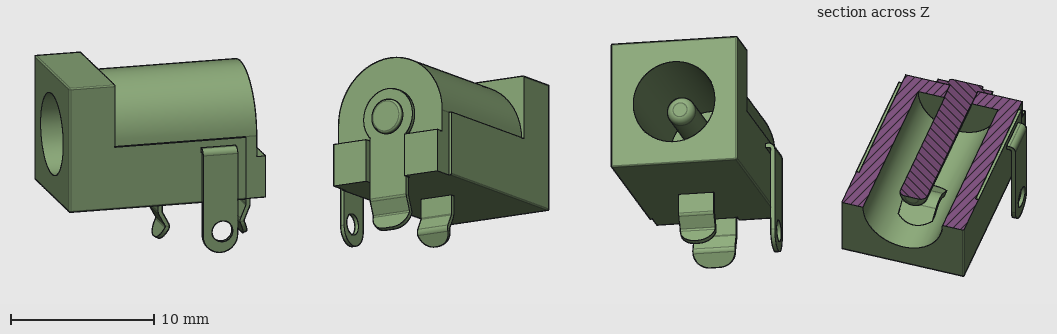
import cadquery as cq
import math


BLOCK_SIZE = 9.01
BLOCK_DEPTH = 3.3
WIDE_DEPTH = 12.8
REAR_FACE_Y = 13.65
TOTAL_DEPTH = 14.3
BARREL_RADIUS = 4.29
BORE_RADIUS = 2.92
EDGE_FILLET = 0.1
LUG_TOP_Z = -1.52
LUG_GAP = 3.19
HALF_SIZE = BLOCK_SIZE / 2
BORE_DEPTH = REAR_FACE_Y - (BARREL_RADIUS - BORE_RADIUS)

SHEET = 0.3
BEND_RADIUS = 0.13
TAIL_BEND_RADIUS = 0.17
ROUND_MARGIN = 0.001
TAIL_END_Z = -8.01

SLEEVE_WIDTH = 2.5
SLEEVE_TAIL_Y = 7.51
SLEEVE_KINK_Z = -5.95
SLEEVE_OFFSET = 0.56
SLEEVE_TIP_RADIUS = 1.15
SLEEVE_ANGLE = math.radians(30)
CREST_Y = 4.43
CREST_TOP_Z = -1.95
CREST_RADIUS = 1.3
RAMP_START_Y = 1.72

TAB_WIDTH = 2.5
TAB_Y = 10.78
TAB_TOP_Z = -0.5
TAB_REACH = 5.15
TAB_TIP_Z = -8.02
TAB_ROOT_X = 4.0
TAB_HOLE_DIAMETER = 1.5
TAB_HOLE_Y = 10.93
TAB_HOLE_Z = -6.5

PIN_RADIUS = 1.0
PIN_TIP_Y = 2.0
PIN_TIP_FILLET = 0.5
PLATE_RADIUS = 2.02
RIVET_RADIUS = 1.23
RIVET_HEIGHT = 0.29
RIVET_FILLET = 0.16
TERMINAL_WIDTH = 3.0
TERMINAL_KINK_Z = -5.79
TERMINAL_OFFSET = 0.46
TERMINAL_TIP_RADIUS = 1.15


def block(x_range, y_range, z_range):
    """Box between the given limits."""
    size = [high - low for low, high in (x_range, y_range, z_range)]
    corner = (x_range[0], y_range[0], z_range[0])
    return cq.Workplane("XY").box(*size, centered=False).translate(corner)


def rod(radius, y_start, y_end):
    """Cylinder about the Y axis."""
    start = cq.Workplane("XZ", origin=(0, y_start, 0))
    return start.circle(radius).extrude(y_start - y_end)


def offset_path(path, distance):
    """Points of the path moved to its left, with mitred corners."""
    angles = [math.atan2(b[1] - a[1], b[0] - a[0]) for a, b in zip(path, path[1:])]
    before = [angles[0]] + angles
    after = angles + [angles[-1]]
    points = []
    for (u, v), a, b in zip(path, before, after):
        normal = (a + b) / 2 + math.pi / 2
        reach = distance / math.cos((b - a) / 2)
        points.append((u + reach * math.cos(normal), v + reach * math.sin(normal)))
    return points


def bent_strip(plane, path, bend_radii, width, tip_radius):
    """Strip of sheet centred on a path, with rounded bends and rounded corners at the last point."""
    left = offset_path(path, SHEET / 2)
    right = offset_path(path, -SHEET / 2)
    base = cq.Workplane(plane)
    strip = base.polyline(left + right[::-1]).close().extrude(width / 2, both=True)

    tip_corners = [base.plane.toWorldCoords((*path[-1], side * width / 2)) for side in (-1, 1)]
    for corner in tip_corners:
        strip = strip.edges(cq.NearestToPointSelector(corner.toTuple())).fillet(tip_radius)

    for i, radius in enumerate(bend_radii, start=1):
        (u0, v0), (u1, v1), (u2, v2) = path[i - 1:i + 2]
        turns_left = (u1 - u0) * (v2 - v1) - (v1 - v0) * (u2 - u1) > 0
        inner, outer = (left, right) if turns_left else (right, left)
        for point, edge_radius in ((inner[i], radius), (outer[i], radius + SHEET)):
            centre = base.plane.toWorldCoords((*point, 0)).toTuple()
            strip = strip.edges(cq.NearestToPointSelector(centre)).fillet(edge_radius)
    return strip


def tail_path(y, kink_z, offset):
    """Vertical tail at y that kinks sideways by the offset and returns to y at its tip."""
    return [(y, kink_z), (y + offset, (kink_z + TAIL_END_Z) / 2), (y, TAIL_END_Z)]


def make_sleeve_contact():
    """Arched leaf on the floor of the bore that turns down into a kinked solder tail."""
    slope = math.tan(SLEEVE_ANGLE)
    outer_radius = CREST_RADIUS + SHEET
    mitre_top_z = CREST_TOP_Z + outer_radius * (1 / math.cos(SLEEVE_ANGLE) - 1)
    apex_z = mitre_top_z - SHEET / 2 / math.cos(SLEEVE_ANGLE)
    path = [
        (RAMP_START_Y, apex_z - slope * (CREST_Y - RAMP_START_Y)),
        (CREST_Y, apex_z),
        (SLEEVE_TAIL_Y, apex_z - slope * (SLEEVE_TAIL_Y - CREST_Y)),
        *tail_path(SLEEVE_TAIL_Y, SLEEVE_KINK_Z, SLEEVE_OFFSET),
    ]
    radii = [CREST_RADIUS, BEND_RADIUS, TAIL_BEND_RADIUS, TAIL_BEND_RADIUS]
    return bent_strip("YZ", path, radii, SLEEVE_WIDTH, SLEEVE_TIP_RADIUS)


def make_side_tab():
    """Terminal that leaves the +X wall, turns down and ends in a round tip with a hole."""
    middle_x = TAB_REACH - SHEET / 2
    middle_z = TAB_TOP_Z - SHEET / 2
    path = [(TAB_ROOT_X, middle_z), (middle_x, middle_z), (middle_x, TAB_TIP_Z)]
    full_round = TAB_WIDTH / 2 - ROUND_MARGIN
    tab = bent_strip("XZ", path, [BEND_RADIUS], TAB_WIDTH, full_round).translate((0, TAB_Y, 0))
    hole_start = cq.Workplane("YZ", origin=(HALF_SIZE, 0, 0)).center(TAB_HOLE_Y, TAB_HOLE_Z)
    return tab.cut(hole_start.circle(TAB_HOLE_DIAMETER / 2).extrude(TAB_REACH - HALF_SIZE))


def make_housing():
    """Moulded housing with the sleeve contact and the side tab as parts of the same solid."""
    full_width = (-HALF_SIZE, HALF_SIZE)
    barrel_width = (-BARREL_RADIUS, BARREL_RADIUS)

    housing = block(full_width, (0, WIDE_DEPTH), full_width)
    housing = housing.edges("|Y").fillet(EDGE_FILLET).faces("<Y").fillet(EDGE_FILLET)
    housing = housing.cut(block(full_width, (BLOCK_DEPTH, WIDE_DEPTH), (0, HALF_SIZE)))
    housing = housing.union(rod(BARREL_RADIUS, BLOCK_DEPTH, REAR_FACE_Y))
    housing = housing.union(block(barrel_width, (BLOCK_DEPTH, REAR_FACE_Y), (-HALF_SIZE, 0)))

    lugs = block(barrel_width, (REAR_FACE_Y, TOTAL_DEPTH), (-HALF_SIZE, LUG_TOP_Z))
    slot = block((-LUG_GAP / 2, LUG_GAP / 2), (REAR_FACE_Y, TOTAL_DEPTH), (-HALF_SIZE, LUG_TOP_Z))
    housing = housing.union(lugs.cut(slot))

    housing = housing.cut(rod(BORE_RADIUS, 0, BORE_DEPTH))
    housing = housing.cut(rod(PIN_RADIUS, BORE_DEPTH, REAR_FACE_Y))
    return housing.union(make_sleeve_contact()).union(make_side_tab())


def make_centre_pin():
    """Pin riveted through a round plate, whose strap runs down to a kinked solder tail."""
    plate_end_y = REAR_FACE_Y + SHEET
    shaft = rod(PIN_RADIUS, PIN_TIP_Y, plate_end_y).faces("<Y").edges().fillet(PIN_TIP_FILLET)
    plate = rod(PLATE_RADIUS, REAR_FACE_Y, plate_end_y)
    rivet = rod(RIVET_RADIUS, plate_end_y, plate_end_y + RIVET_HEIGHT)
    rivet = rivet.faces(">Y").edges().fillet(RIVET_FILLET)

    middle_y = REAR_FACE_Y + SHEET / 2
    path = [(middle_y, 0), *tail_path(middle_y, TERMINAL_KINK_Z, -TERMINAL_OFFSET)]
    radii = [TAIL_BEND_RADIUS, TAIL_BEND_RADIUS]
    strap = bent_strip("YZ", path, radii, TERMINAL_WIDTH, TERMINAL_TIP_RADIUS)
    return shaft.union(plate).union(rivet).union(strap)


housing = make_housing()
centre_pin = make_centre_pin()

result = cq.Compound.makeCompound([housing.solids().val(), centre_pin.solids().val()])